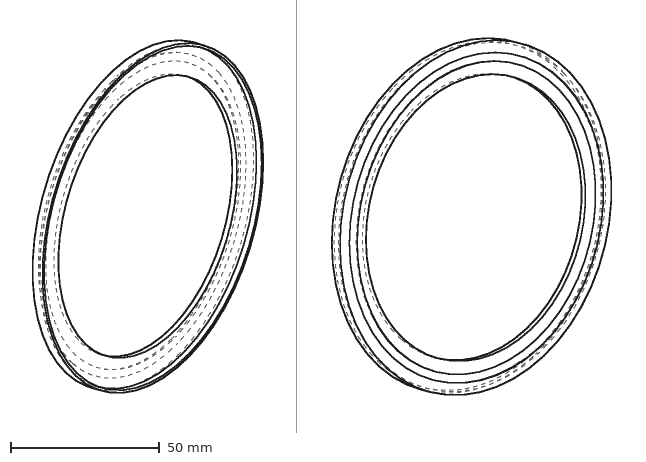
import cadquery as cq

outer_diameter = 121.0
inner_diameter = 97.8
plate_thickness = 4.2

web_thickness = 2.0
lip_width = 1.0

total_thickness = 5.8
bead_outer_diameter = 112.7
bead_width = 2.9

bead_height = total_thickness - plate_thickness
bead_crown = bead_width / 2
bead_wall = bead_height - bead_crown
bead_outer_radius = bead_outer_diameter / 2
bead_inner_radius = bead_outer_radius - bead_width
bead_middle_radius = bead_outer_radius - bead_crown


def flat_ring():
    """Washer from the X = 0 face to +X, recessed at the back inside its outer lip."""
    washer = (
        cq.Workplane("YZ")
        .circle(outer_diameter / 2)
        .circle(inner_diameter / 2)
        .extrude(plate_thickness)
    )
    recess = (
        cq.Workplane("YZ", origin=(web_thickness, 0, 0))
        .circle(outer_diameter / 2 - lip_width)
        .extrude(plate_thickness - web_thickness)
    )
    return washer.cut(recess)


def bead():
    """Ring with a half-round crown, revolved about X and rooted inside the web."""
    root = web_thickness / 2
    return (
        cq.Workplane("XY")
        .moveTo(root, bead_inner_radius)
        .lineTo(-bead_wall, bead_inner_radius)
        .threePointArc((-bead_height, bead_middle_radius), (-bead_wall, bead_outer_radius))
        .lineTo(root, bead_outer_radius)
        .close()
        .revolve(360, (0, 0, 0), (1, 0, 0))
    )


result = flat_ring().union(bead())